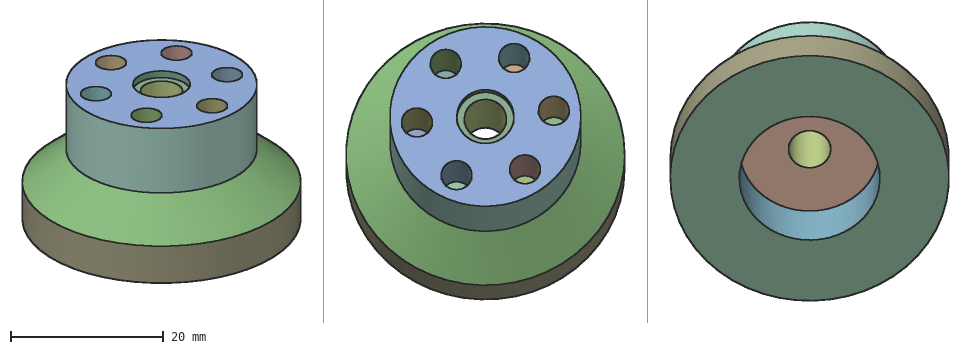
import cadquery as cq

flange_diameter = 36.5
flange_height = 5.48
hub_diameter = 25.0
hub_height = 9.53
total_height = 19.85
shoulder_top = total_height - hub_height

bore_diameter = 5.5
counterbore_diameter = 7.5
counterbore_depth = 1.0

hole_count = 6
hole_diameter = 4.0
hole_circle_diameter = 18.0
hole_depth = 8.0
first_hole_angle = 90.0

pocket_diameter = 18.4
pocket_depth = hole_depth


def make_body():
    """Revolve the half profile of the flange, shoulder and hub."""
    profile = [
        (0, 0),
        (flange_diameter / 2, 0),
        (flange_diameter / 2, flange_height),
        (hub_diameter / 2, shoulder_top),
        (hub_diameter / 2, total_height),
        (0, total_height),
    ]
    return cq.Workplane("XZ").polyline(profile).close().revolve(360, (0, 0), (0, 1))


def hub_face():
    """Work plane on the top face of the hub."""
    return cq.Workplane("XY", origin=(0, 0, total_height))


def center_bore():
    """The through bore together with its counterbore."""
    bore = hub_face().circle(bore_diameter / 2).extrude(-total_height)
    counterbore = hub_face().circle(counterbore_diameter / 2).extrude(-counterbore_depth)
    return bore.union(counterbore)


def hole_ring():
    """The flat-bottomed holes around the bore."""
    hole_centers = hub_face().polarArray(
        hole_circle_diameter / 2, first_hole_angle, 360, hole_count
    )
    return hole_centers.circle(hole_diameter / 2).extrude(-hole_depth)


def underside_pocket():
    """The round pocket that opens downwards."""
    return cq.Workplane("XY").circle(pocket_diameter / 2).extrude(pocket_depth)


result = make_body().cut(center_bore()).cut(hole_ring()).cut(underside_pocket())